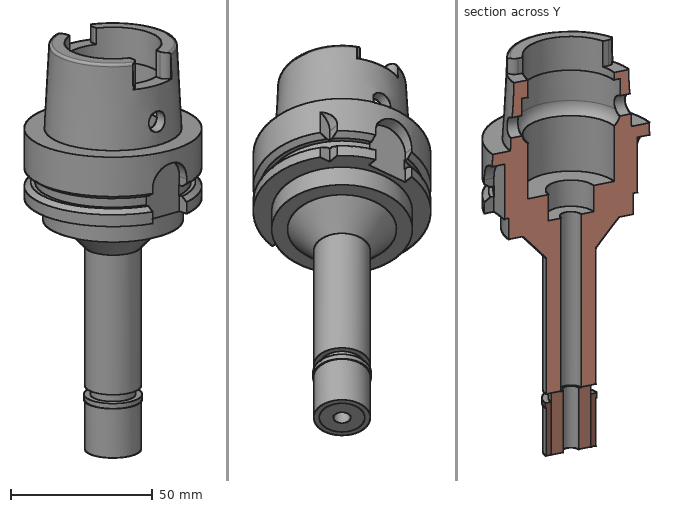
import cadquery as cq
import math

TOTAL_HEIGHT = 152.0
FLANGE_TOP = 120.1
GROOVE_TOP = 103.8
GROOVE_BOTTOM = 100.0
FLANGE_BOTTOM = 94.1
COLLAR_BOTTOM = 86.0
NECK_CONE_BOTTOM = 76.0
SHANK_BOTTOM = 23.7
NUT_TOP = 20.5
NUT_RING_HEIGHT = 2.0

TAPER_TOP_RADIUS = 22.6
TAPER_BASE_RADIUS = 24.3
TAPER_EDGE_FILLET = 1.0
BORE_RADIUS = 17.2
CAVITY_DEPTH = 51.7
UNDERCUT_RADIUS = 19.6
UNDERCUT_TOP = 139.1
UNDERCUT_STRAIGHT_END = 126.5
UNDERCUT_ARC_RADIUS = 6.1
CLAMP_HOLE_RADIUS = 3.8
CLAMP_HOLE_HEIGHT = 128.7

NOTCH_WIDTH = 12.5
NOTCH_CORNER_RADIUS = 2.7
LEFT_NOTCH_DEPTH = 6.1
RIGHT_NOTCH_DEPTH = 9.9

FLANGE_RADIUS = 31.5
GROOVE_RADIUS = 27.7
GROOVE_BEVEL_DEPTH = 2.3
GROOVE_BEVEL_HEIGHT = 1.5
KEYWAY_WIDTH = 16.0
KEYWAY_TOP = 115.2
KEYWAY_FLOOR_X = 26.6
SIDE_NOTCH_WIDTH = 14.0
SIDE_NOTCH_FLOOR_X = 19.8
SIDE_NOTCH_EDGE_Y = 20.2

COLLAR_RADIUS = 25.0
NECK_CONE_RADIUS = 19.3
SHANK_RADIUS = 10.0
COOLANT_SEAT_RADIUS = 9.0
COOLANT_SEAT_DEPTH = 10.0
CENTRE_HOLE_RADIUS = 4.0

COLLET_RADIUS = 8.0
COLLET_BORE_RADIUS = 3.0
NUT_RADIUS = SHANK_RADIUS
NUT_RING_RADIUS = 10.3

cavity_floor = TOTAL_HEIGHT - CAVITY_DEPTH


def cylinder(radius, bottom, top):
    """Cylinder on the Z axis between two heights."""
    return cq.Workplane("XY").workplane(offset=bottom).circle(radius).extrude(top - bottom)


def holder_blank():
    """Turned outside shape of the holder, from the taper rim to the end of the shank."""
    bevel_radius = FLANGE_RADIUS - GROOVE_BEVEL_DEPTH
    profile = [
        (0, TOTAL_HEIGHT),
        (TAPER_TOP_RADIUS, TOTAL_HEIGHT),
        (TAPER_BASE_RADIUS, FLANGE_TOP),
        (FLANGE_RADIUS, FLANGE_TOP),
        (FLANGE_RADIUS, GROOVE_TOP + GROOVE_BEVEL_HEIGHT),
        (bevel_radius, GROOVE_TOP),
        (GROOVE_RADIUS, GROOVE_TOP),
        (GROOVE_RADIUS, GROOVE_BOTTOM),
        (bevel_radius, GROOVE_BOTTOM),
        (FLANGE_RADIUS, GROOVE_BOTTOM - GROOVE_BEVEL_HEIGHT),
        (FLANGE_RADIUS, FLANGE_BOTTOM),
        (COLLAR_RADIUS, FLANGE_BOTTOM),
        (COLLAR_RADIUS, COLLAR_BOTTOM),
        (NECK_CONE_RADIUS, COLLAR_BOTTOM),
        (SHANK_RADIUS, NECK_CONE_BOTTOM),
        (SHANK_RADIUS, SHANK_BOTTOM),
        (0, SHANK_BOTTOM),
    ]
    blank = cq.Workplane("YZ").polyline(profile).close().revolve(360, (0, 0), (0, 1))
    return blank.faces(">Z").edges().fillet(TAPER_EDGE_FILLET)


def undercut():
    """Widening of the bore that curves back in to the bore wall at its lower end."""
    arc_centre_radius = UNDERCUT_RADIUS - UNDERCUT_ARC_RADIUS
    end_angle = math.acos((BORE_RADIUS - arc_centre_radius) / UNDERCUT_ARC_RADIUS)

    def arc_point(angle):
        radius = arc_centre_radius + UNDERCUT_ARC_RADIUS * math.cos(angle)
        height = UNDERCUT_STRAIGHT_END - UNDERCUT_ARC_RADIUS * math.sin(angle)
        return radius, height

    arc_end = arc_point(end_angle)
    return (
        cq.Workplane("YZ")
        .moveTo(0, UNDERCUT_TOP)
        .lineTo(UNDERCUT_RADIUS, UNDERCUT_TOP)
        .lineTo(UNDERCUT_RADIUS, UNDERCUT_STRAIGHT_END)
        .threePointArc(arc_point(end_angle / 2), arc_end)
        .lineTo(0, arc_end[1])
        .close()
        .revolve(360, (0, 0), (0, 1))
    )


def holder_cavity():
    """Bore with a wider undercut, the coolant seat and the central hole."""
    bore = cylinder(BORE_RADIUS, cavity_floor, TOTAL_HEIGHT)
    coolant_seat = cylinder(COOLANT_SEAT_RADIUS, cavity_floor - COOLANT_SEAT_DEPTH, cavity_floor)
    centre_hole = cylinder(CENTRE_HOLE_RADIUS, SHANK_BOTTOM, cavity_floor)
    return undercut().union(bore).union(coolant_seat).union(centre_hole)


def rim_notch(side, depth):
    """Cutter for a notch through the rim at +X (side 1) or -X (side -1).

    Its walls flare outwards in quarter arcs, which round the outer corners of the rim.
    """
    half_width = NOTCH_WIDTH / 2
    flare_y = half_width + NOTCH_CORNER_RADIUS
    flare_end_x = math.sqrt(TAPER_TOP_RADIUS**2 - flare_y**2)
    flare_start_x = flare_end_x - NOTCH_CORNER_RADIUS
    arc_offset = NOTCH_CORNER_RADIUS * math.sqrt(0.5)
    arc_x = flare_start_x + arc_offset
    arc_y = flare_y - arc_offset
    return (
        cq.Workplane("XY")
        .workplane(offset=TOTAL_HEIGHT - depth)
        .moveTo(0, -half_width)
        .lineTo(side * flare_start_x, -half_width)
        .threePointArc((side * arc_x, -arc_y), (side * flare_end_x, -flare_y))
        .lineTo(side * FLANGE_RADIUS, -flare_y)
        .lineTo(side * FLANGE_RADIUS, flare_y)
        .lineTo(side * flare_end_x, flare_y)
        .threePointArc((side * arc_x, arc_y), (side * flare_start_x, half_width))
        .lineTo(0, half_width)
        .close()
        .extrude(depth)
    )


def keyway(width, centre_y, floor_x):
    """Round-topped cutter, open at the flange bottom, reaching from a floor in X past the flange."""
    half_width = width / 2
    spring_height = KEYWAY_TOP - half_width
    return (
        cq.Workplane("YZ")
        .workplane(offset=floor_x)
        .moveTo(centre_y - half_width, FLANGE_BOTTOM)
        .lineTo(centre_y - half_width, spring_height)
        .threePointArc((centre_y, KEYWAY_TOP), (centre_y + half_width, spring_height))
        .lineTo(centre_y + half_width, FLANGE_BOTTOM)
        .close()
        .extrude(math.copysign(FLANGE_RADIUS, floor_x))
    )


def make_holder():
    """Hollow-taper holder with flange and shank."""
    holder = holder_blank().cut(holder_cavity())

    for side, depth in ((-1, LEFT_NOTCH_DEPTH), (1, RIGHT_NOTCH_DEPTH)):
        holder = holder.cut(rim_notch(side, depth))

    for side in (-1, 1):
        holder = holder.cut(keyway(KEYWAY_WIDTH, 0, side * KEYWAY_FLOOR_X))
    side_notch_y = SIDE_NOTCH_EDGE_Y + SIDE_NOTCH_WIDTH / 2
    holder = holder.cut(keyway(SIDE_NOTCH_WIDTH, side_notch_y, -SIDE_NOTCH_FLOOR_X))

    clamp_hole = (
        cq.Workplane("YZ")
        .center(0, CLAMP_HOLE_HEIGHT)
        .circle(CLAMP_HOLE_RADIUS)
        .extrude(FLANGE_RADIUS, both=True)
    )
    return holder.cut(clamp_hole)


def make_collet():
    """Collet filling the nut and butting against the end of the shank."""
    return cylinder(COLLET_RADIUS, 0, SHANK_BOTTOM).cut(cylinder(COLLET_BORE_RADIUS, 0, SHANK_BOTTOM))


def make_nut():
    """Sleeve nut around the collet, with a raised ring at its upper end."""
    sleeve = cylinder(NUT_RADIUS, 0, NUT_TOP)
    ring = cylinder(NUT_RING_RADIUS, NUT_TOP - NUT_RING_HEIGHT, NUT_TOP)
    return sleeve.union(ring).cut(cylinder(COLLET_RADIUS, 0, NUT_TOP))


holder = make_holder()
collet = make_collet()
nut = make_nut()

result = cq.Compound.makeCompound([holder.val(), collet.val(), nut.val()])